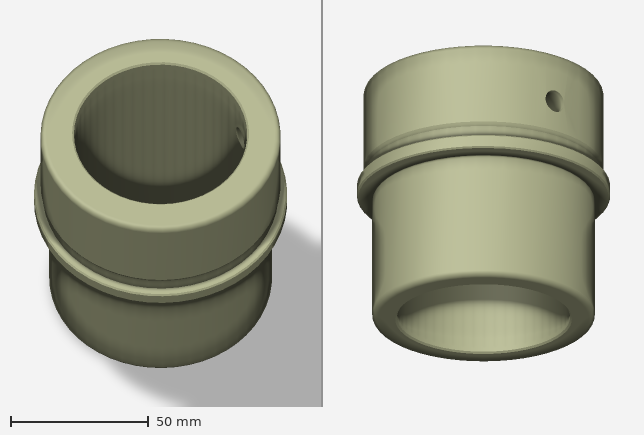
import cadquery as cq

total_height = 90.0
bore_radius = 31.45
liner_outer_radius = 33.5
lower_radius = 40.5
flange_radius = 46.0
neck_radius = 42.9
upper_radius = 43.6

flange_bottom = 48.1
flange_top = 53.25
neck_top = 57.9
upper_bottom = 59.4

end_rounding = 2.0
flange_chamfer = 0.55
bore_chamfer = 0.6

oil_hole_radius = 4.1
oil_hole_depth_from_top = 18.9
oil_hole_height = total_height - oil_hole_depth_from_top


def tube(outer_radius, inner_radius, bottom, top):
    """Ring on the Z axis between two heights."""
    return (
        cq.Workplane("XY")
        .workplane(offset=bottom)
        .circle(outer_radius)
        .circle(inner_radius)
        .extrude(top - bottom)
    )


def oil_hole():
    """Radial cutter through the +Y wall."""
    return (
        cq.Workplane("XZ", origin=(0, 0, oil_hole_height))
        .circle(oil_hole_radius)
        .extrude(-flange_radius)
    )


def outer_edges(part):
    """Circular edges of the largest radius."""
    return part.edges(cq.selectors.RadiusNthSelector(-1))


def make_housing():
    """Flanged guide bush with a tapered step above its neck and an oil hole."""
    lower = tube(lower_radius, liner_outer_radius, 0, flange_bottom)
    lower = outer_edges(lower).fillet(end_rounding)

    flange = tube(flange_radius, liner_outer_radius, flange_bottom, flange_top)
    flange = outer_edges(flange).chamfer(flange_chamfer)

    neck = tube(neck_radius, liner_outer_radius, flange_top, neck_top)

    upper = (
        cq.Workplane("XZ")
        .moveTo(liner_outer_radius, neck_top)
        .lineTo(neck_radius, neck_top)
        .lineTo(upper_radius, upper_bottom)
        .lineTo(upper_radius, total_height - end_rounding)
        .radiusArc((upper_radius - end_rounding, total_height), -end_rounding)
        .lineTo(liner_outer_radius, total_height)
        .close()
        .revolve(360, (0, 0, 0), (0, 1, 0))
    )
    return lower.union(flange).union(neck).union(upper).cut(oil_hole())


def make_liner():
    """Thin sleeve lining the housing bore, chamfered inside at both ends."""
    liner = tube(liner_outer_radius, bore_radius, 0, total_height)
    liner = liner.edges(cq.selectors.RadiusNthSelector(0)).chamfer(bore_chamfer)
    return liner.cut(oil_hole())


housing = make_housing()
liner = make_liner()
result = cq.Compound.makeCompound([housing.val(), liner.val()])